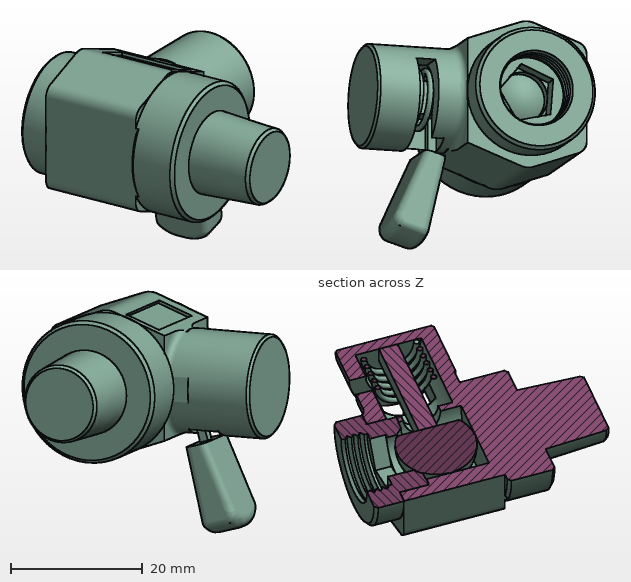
import cadquery as cq
import math

OVERALL_LENGTH = 39.1
EDGE_CHAMFER = 0.5

COLLAR_LENGTH = 4.65
COLLAR_RADIUS = 9.5
SPIGOT_RADIUS = 7.43
SPIGOT_END = 9.4
THREAD_CREST_RADIUS = 5.55
THREAD_MOUTH_RADIUS = 5.83
MOUTH_CHAMFER_LENGTH = 0.6
THREAD_PITCH = 1.0
THREAD_DEPTH = 0.63
THREAD_GROOVES = 3
SOCKET_FLOOR = 4.1
PENTAGON_RADIUS = 4.65
PENTAGON_FLOOR = 6.65
SEAT_HOLE_RADIUS = 3.85
PENTAGON_TURN = 4.5

BLOCK_START = COLLAR_LENGTH
BLOCK_END = 20.95
FLAT_DISTANCE = 9.45
CORNER_HEIGHT = 8.15
SLOPE_ANGLE = 20.0
APEX_FILLET = 3.32
CORNER_FILLET = 1.95

PLATE_START = 7.15
PLATE_END = 19.55
PLATE_NEAR_Y = 2.55
PLATE_FAR_Y = 7.95
PLATE_DEPTH = 0.45

FLANGE_END = 28.62
FLANGE_RADIUS = 11.0
NOSE_BASE_RADIUS = 6.53
NOSE_TIP_RADIUS = 6.0
NOSE_CHAMFER_LENGTH = 0.55
NOSE_CHAMFER_DEPTH = 0.4

BRANCH_X = 13.2
BRANCH_RADIUS = 7.98
BRANCH_END = 23.5
BRANCH_CHAMFER = 0.4
BRANCH_ROOT_FILLET = 1.0
FLANGE_CLEARANCE_END = 13.4
SPRING_BORE_RADIUS = 5.28

SLOT_FAR_Y = 16.85
SLOT_NEAR_Y = 13.9
SLOT_TOP = 5.0
NOTCH_NEAR_Y = 11.93
NOTCH_HALF_WIDTH = 4.22

BALL_RADIUS = 6.25
BALL_FLAT_Y = 3.68
STEM_RADIUS = 2.97
STEM_FLAT_HALF_HEIGHT = 2.55
SPRING_RADIUS = 4.38
SPRING_WIRE_RADIUS = 0.45
SPRING_PITCH = 1.545
SPRING_TURNS = 5
SPRING_START = 13.35

LEVER_X = 13.45
LEVER_TILT = 16.0
ARM_WIDTH = 1.5
ARM_THICKNESS = 1.33
ARM_Y = 12.63
ARM_BEND_Z = -7.65
ARM_GRIP_DEPTH = 3.13
GRIP_CORNER_Y = 11.4
GRIP_CORNER_Z = -9.58
GRIP_TOP_THICKNESS = 3.5
GRIP_LENGTH = 14.0
GRIP_BACK_FLARE = 2.15
GRIP_FRONT_FLARE = 0.7
GRIP_WIDTH = 9.25
GRIP_END_FLAT = 1.5
GRIP_END_RISE = 1.6
GRIP_FILLET = 1.17
GRIP_HEEL_FILLET = 1.55

SLOPE = math.tan(math.radians(SLOPE_ANGLE))
APEX_HEIGHT = CORNER_HEIGHT + FLAT_DISTANCE * SLOPE
STEM_FLAT_X = math.sqrt(STEM_RADIUS**2 - STEM_FLAT_HALF_HEIGHT**2)
BORE_END = SPRING_START + SPRING_TURNS * SPRING_PITCH + SPRING_WIRE_RADIUS
CHAMBER_END = BRANCH_X + BALL_RADIUS


def box(x_range, y_range, z_range):
    """Axis-aligned box given by its limits along X, Y and Z."""
    lows, highs = zip(x_range, y_range, z_range)
    sizes = [high - low for low, high in zip(lows, highs)]
    return cq.Workplane("XY").box(*sizes, centered=False).translate(lows)


def cylinder_x(radius, start, end):
    """Cylinder on the flow axis."""
    return cq.Workplane("YZ").workplane(offset=start).circle(radius).extrude(end - start)


def cylinder_y(radius, start, end):
    """Cylinder on the branch axis."""
    plane = cq.Plane(origin=(BRANCH_X, start, 0), xDir=(1, 0, 0), normal=(0, 1, 0))
    return cq.Workplane(plane).circle(radius).extrude(end - start)


def revolve_x(points):
    """Revolve a closed (x, radius) outline about the flow axis."""
    return cq.Workplane("XY").polyline(points).close().revolve(360, (0, 0, 0), (1, 0, 0))


def sloped_prism(reach):
    """Prism under the four sloping faces, its vertical sides at y = -reach and y = +reach."""
    side = APEX_HEIGHT - reach * SLOPE
    outline = [(-reach, -side), (0, -APEX_HEIGHT), (reach, -side), (reach, side), (0, APEX_HEIGHT), (-reach, side)]
    length = BLOCK_END - BLOCK_START
    return cq.Workplane("YZ").workplane(offset=BLOCK_START).polyline(outline).close().extrude(length)


def block():
    """Six-sided block, rounded along its top and bottom ridges and its two -Y corners."""
    prism = sloped_prism(FLAT_DISTANCE)
    prism = prism.edges("|X and (>Z or <Z)").fillet(APEX_FILLET)
    near_corners = cq.selectors.BoxSelector(
        (0, -FLAT_DISTANCE - 0.4, -CORNER_HEIGHT - 0.4), (OVERALL_LENGTH, -FLAT_DISTANCE + 0.4, CORNER_HEIGHT + 0.4)
    )
    return prism.edges("|X").edges(near_corners).fillet(CORNER_FILLET)


def nameplate_recess():
    """Shallow rectangular pocket parallel to the sloping +Y top face."""
    middle_y = (PLATE_NEAR_Y + PLATE_FAR_Y) / 2
    slope = math.radians(SLOPE_ANGLE)
    plane = cq.Plane(
        origin=((PLATE_START + PLATE_END) / 2, middle_y, APEX_HEIGHT - middle_y * SLOPE),
        xDir=(1, 0, 0),
        normal=(0, math.sin(slope), math.cos(slope)),
    )
    height = (PLATE_FAR_Y - PLATE_NEAR_Y) / math.cos(slope)
    return cq.Workplane(plane).rect(PLATE_END - PLATE_START, height).extrude(-PLATE_DEPTH)


def flange_and_nose():
    """Round flange and the tapered nose beyond it."""
    chamfer_start = OVERALL_LENGTH - NOSE_CHAMFER_LENGTH
    solid = revolve_x(
        [
            (BLOCK_END, 0),
            (BLOCK_END, FLANGE_RADIUS),
            (FLANGE_END - EDGE_CHAMFER, FLANGE_RADIUS),
            (FLANGE_END, FLANGE_RADIUS - EDGE_CHAMFER),
            (FLANGE_END, NOSE_BASE_RADIUS),
            (chamfer_start, NOSE_TIP_RADIUS),
            (OVERALL_LENGTH, NOSE_TIP_RADIUS - NOSE_CHAMFER_DEPTH),
            (OVERALL_LENGTH, 0),
        ]
    )
    back_chamfer = revolve_x(
        [
            (BLOCK_END, FLANGE_RADIUS - EDGE_CHAMFER),
            (BLOCK_END, FLANGE_RADIUS),
            (BLOCK_END + EDGE_CHAMFER, FLANGE_RADIUS),
        ]
    )
    overhang = box(
        (BLOCK_END, FLANGE_END), (-FLANGE_RADIUS, -FLAT_DISTANCE), (-FLANGE_RADIUS, FLANGE_RADIUS)
    )
    return solid.cut(back_chamfer.intersect(overhang))


def branch():
    """Round branch, cut back beside the flange, with a root fillet kept within the block."""
    tube = cylinder_y(BRANCH_RADIUS, 0, BRANCH_END).faces(">Y").chamfer(BRANCH_CHAMFER)
    clearance = box(
        (BLOCK_END, BLOCK_END + BRANCH_RADIUS), (0, FLANGE_CLEARANCE_END), (-BRANCH_RADIUS, BRANCH_RADIUS)
    )
    root_end = FLAT_DISTANCE + BRANCH_ROOT_FILLET
    fillet_middle = BRANCH_ROOT_FILLET * (1 - math.sqrt(0.5))
    root = (
        cq.Workplane("XY")
        .moveTo(BRANCH_X, 0)
        .lineTo(BRANCH_X + BRANCH_RADIUS + BRANCH_ROOT_FILLET, 0)
        .lineTo(BRANCH_X + BRANCH_RADIUS + BRANCH_ROOT_FILLET, FLAT_DISTANCE)
        .threePointArc(
            (BRANCH_X + BRANCH_RADIUS + fillet_middle, FLAT_DISTANCE + fillet_middle),
            (BRANCH_X + BRANCH_RADIUS, root_end),
        )
        .lineTo(BRANCH_X, root_end)
        .close()
        .revolve(360, (BRANCH_X, 0, 0), (BRANCH_X, 1, 0))
        .intersect(sloped_prism(root_end))
        .intersect(box((BLOCK_START, BLOCK_END), (0, root_end), (-CORNER_HEIGHT, CORNER_HEIGHT)))
    )
    lower = box((0, OVERALL_LENGTH), (0, root_end), (-BRANCH_RADIUS, BRANCH_RADIUS))
    return tube.cut(lower).cut(clearance).union(root)


def lever_slot():
    """L-shaped slot: a notch through the underside and a slot rising from it on the -X side."""
    notch = box(
        (BRANCH_X - NOTCH_HALF_WIDTH, BRANCH_X + NOTCH_HALF_WIDTH),
        (NOTCH_NEAR_Y, SLOT_FAR_Y),
        (-BRANCH_RADIUS, 0),
    )
    side_slot = box((BRANCH_X - BRANCH_RADIUS, BRANCH_X), (SLOT_NEAR_Y, SLOT_FAR_Y), (-BRANCH_RADIUS, SLOT_TOP))
    return notch.union(side_slot)


def build_housing():
    """Block, flange, nose and branch in one piece, bored for the parts inside."""
    body = block().union(flange_and_nose()).union(branch())
    body = body.cut(nameplate_recess()).cut(lever_slot())
    body = body.cut(cylinder_x(SPIGOT_RADIUS, BLOCK_START, SPIGOT_END))
    body = body.cut(cylinder_x(BALL_RADIUS, SPIGOT_END, CHAMBER_END))
    body = body.cut(cylinder_y(STEM_RADIUS, 0, SPIGOT_RADIUS))
    return body.cut(cylinder_y(SPRING_BORE_RADIUS, SPIGOT_RADIUS, BORE_END))


def threaded_socket():
    """Socket with a chamfered mouth and V-shaped ring grooves."""
    outline = [(0, 0), (0, THREAD_MOUTH_RADIUS)]
    for groove in range(THREAD_GROOVES):
        crest = MOUTH_CHAMFER_LENGTH + groove * THREAD_PITCH
        outline.append((crest, THREAD_CREST_RADIUS))
        outline.append((crest + THREAD_PITCH / 2, THREAD_CREST_RADIUS + THREAD_DEPTH))
    outline.append((MOUTH_CHAMFER_LENGTH + THREAD_GROOVES * THREAD_PITCH, THREAD_CREST_RADIUS))
    outline.append((SOCKET_FLOOR, THREAD_CREST_RADIUS))
    outline.append((SOCKET_FLOOR, 0))
    return revolve_x(outline)


def pentagon_recess():
    """Five-sided drive recess in the socket floor."""
    length = PENTAGON_FLOOR - SOCKET_FLOOR
    prism = cq.Workplane("YZ").workplane(offset=SOCKET_FLOOR).polygon(5, 2 * PENTAGON_RADIUS).extrude(length)
    return prism.rotate((0, 0, 0), (1, 0, 0), PENTAGON_TURN)


def build_inlet_fitting():
    """Collar and spigot with a threaded socket, a drive recess and a seat for the ball."""
    collar = cylinder_x(COLLAR_RADIUS, 0, COLLAR_LENGTH).faces("<X").chamfer(EDGE_CHAMFER)
    spigot = cylinder_x(SPIGOT_RADIUS, COLLAR_LENGTH, SPIGOT_END)
    body = collar.union(spigot).cut(threaded_socket()).cut(pentagon_recess())
    seat_hole = cylinder_x(SEAT_HOLE_RADIUS, PENTAGON_FLOOR, SPIGOT_END)
    ball_seat = cq.Workplane("XY").sphere(BALL_RADIUS).translate((BRANCH_X, 0, 0))
    return body.cut(seat_hole).cut(ball_seat)


def build_ball():
    """Ball with a flat that the stem rests on."""
    flat_radius = math.sqrt(BALL_RADIUS**2 - BALL_FLAT_Y**2)
    return (
        cq.Workplane("XY")
        .moveTo(BRANCH_X, -BALL_RADIUS)
        .threePointArc((BRANCH_X + BALL_RADIUS, 0), (BRANCH_X + flat_radius, BALL_FLAT_Y))
        .lineTo(BRANCH_X, BALL_FLAT_Y)
        .close()
        .revolve(360, (BRANCH_X, 0, 0), (BRANCH_X, 1, 0))
    )


def build_stem():
    """Round stem with two flats, and a socket for the lever arm."""
    stem = cylinder_y(STEM_RADIUS, BALL_FLAT_Y, BORE_END)
    between_flats = box(
        (BRANCH_X - STEM_FLAT_X, BRANCH_X + STEM_FLAT_X), (0, BRANCH_END), (-STEM_RADIUS, STEM_RADIUS)
    )
    return stem.intersect(between_flats).cut(build_lever_arm())


def build_spring():
    """Left-hand coil spring around the stem."""
    helix = cq.Wire.makeHelix(SPRING_PITCH, SPRING_TURNS * SPRING_PITCH, SPRING_RADIUS, lefthand=True)
    coil = cq.Workplane("XZ").center(SPRING_RADIUS, 0).circle(SPRING_WIRE_RADIUS).sweep(helix, isFrenet=True)
    return coil.rotate((0, 0, 0), (1, 0, 0), -90).translate((BRANCH_X, SPRING_START, 0))


def lever_plane():
    """Plane at the top of the grip: local x along +X, local y across the grip, normal up the lever."""
    tilt = math.radians(LEVER_TILT)
    return cq.Plane(
        origin=(LEVER_X, GRIP_CORNER_Y, GRIP_CORNER_Z),
        xDir=(1, 0, 0),
        normal=(0, -math.sin(tilt), math.cos(tilt)),
    )


def build_lever_arm():
    """Bent bar: an upright leg in the stem and a tilted neck in the grip."""
    tilt = math.radians(LEVER_TILT)
    neck_length = (ARM_BEND_Z - GRIP_CORNER_Z) / math.cos(tilt) + ARM_GRIP_DEPTH
    neck_end = (ARM_Y + neck_length * math.sin(tilt), ARM_BEND_Z - neck_length * math.cos(tilt))
    half = ARM_THICKNESS / 2
    across = (half * math.cos(tilt), half * math.sin(tilt))
    miter = half * math.tan(tilt / 2)
    outline = [
        (ARM_Y - half, 0),
        (ARM_Y + half, 0),
        (ARM_Y + half, ARM_BEND_Z + miter),
        (neck_end[0] + across[0], neck_end[1] + across[1]),
        (neck_end[0] - across[0], neck_end[1] - across[1]),
        (ARM_Y - half, ARM_BEND_Z - miter),
    ]
    plane = cq.Workplane("YZ").workplane(offset=LEVER_X - ARM_WIDTH / 2)
    return plane.polyline(outline).close().extrude(ARM_WIDTH)


def build_grip():
    """Flared paddle with a bowed, rounded end, holding the lower end of the arm."""
    half_width = GRIP_WIDTH / 2
    half_flat = GRIP_END_FLAT / 2
    side_length = GRIP_LENGTH - GRIP_END_RISE
    reach = half_width - half_flat
    bow_radius = (reach**2 + GRIP_END_RISE**2) / (2 * GRIP_END_RISE)
    plane = lever_plane()
    side = cq.Plane(origin=(LEVER_X - half_width, GRIP_CORNER_Y, GRIP_CORNER_Z), xDir=plane.yDir, normal=(1, 0, 0))
    wedge = (
        cq.Workplane(side)
        .polyline(
            [
                (0, 0),
                (GRIP_TOP_THICKNESS, 0),
                (GRIP_TOP_THICKNESS + GRIP_BACK_FLARE, -GRIP_LENGTH),
                (-GRIP_FRONT_FLARE, -GRIP_LENGTH),
            ]
        )
        .close()
        .extrude(GRIP_WIDTH)
    )
    face = cq.Plane(origin=plane.origin, xDir=(1, 0, 0), normal=-plane.yDir)
    paddle = (
        cq.Workplane(face)
        .workplane(offset=-2 * GRIP_WIDTH)
        .moveTo(-half_width, 0)
        .lineTo(-half_width, -side_length)
        .radiusArc((-half_flat, -GRIP_LENGTH), -bow_radius)
        .lineTo(half_flat, -GRIP_LENGTH)
        .radiusArc((half_width, -side_length), -bow_radius)
        .lineTo(half_width, 0)
        .close()
        .extrude(4 * GRIP_WIDTH)
    )
    grip = wedge.intersect(paddle)
    heel_corner = side.toWorldCoords((GRIP_TOP_THICKNESS + GRIP_BACK_FLARE, -side_length))
    heel = [edge for edge in grip.edges().vals() if edge.Center().y > heel_corner.y]
    grip = grip.newObject(heel).fillet(GRIP_HEEL_FILLET)
    top = grip.faces(cq.selectors.DirectionMinMaxSelector(plane.zDir)).edges().vals()
    sides = grip.faces("<X or >X").edges().vals()
    front = grip.faces(cq.selectors.DirectionMinMaxSelector(-plane.yDir)).edges().vals()
    rim = [edge for edge in sides + front if not any(edge.isSame(other) for other in top)]
    grip = grip.newObject(rim).fillet(GRIP_FILLET)
    return grip.cut(build_lever_arm())


housing = build_housing()
inlet_fitting = build_inlet_fitting()
ball = build_ball()
stem = build_stem()
spring = build_spring()
lever_arm = build_lever_arm()
grip = build_grip()

result = cq.Compound.makeCompound(
    [
        housing.val(),
        inlet_fitting.val(),
        ball.val(),
        stem.val(),
        spring.val(),
        lever_arm.val(),
        grip.val(),
    ]
)